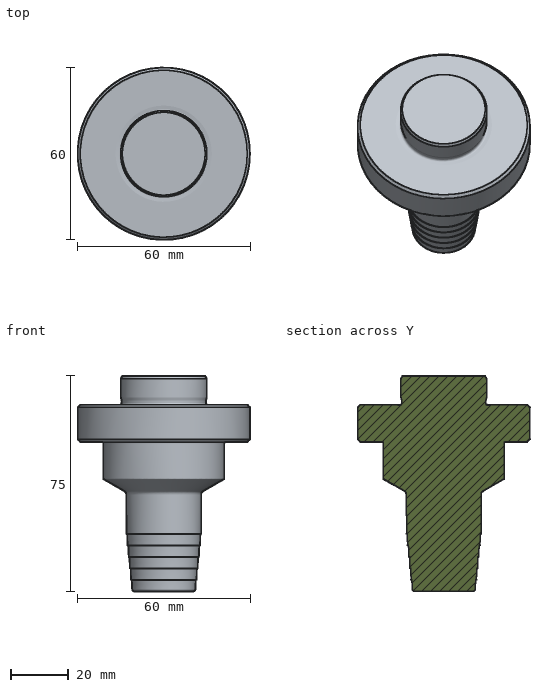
import cadquery as cq
import math

total_height = 75.0

ring_count = 5
ring_height = 4.0
ring_step = 0.27
ring_taper = 0.135
ledge_height = 0.15
tip_fillet = 1.0

stem_radius = 13.05
hub_radius = 21.1
hub_bottom = 39.15
cone_angle = 60.0
stem_fillet = 1.2
hub_edge_fillet = 0.45
hub_root_fillet = 0.45

flange_radius = 30.0
flange_bottom = 52.0
flange_top = 65.0
flange_chamfer = 1.0

countersink_radius = 16.7
countersink_depth = 0.2

neck_radius = 14.7
neck_root_fillet = 0.7
neck_top = 66.4
cap_radius = 15.0
cap_bottom = 67.5
cap_chamfer_height = 1.0
cap_chamfer_width = 0.6

neck_bottom = flange_top - countersink_depth
tail_top = ring_count * ring_height + ledge_height
cone_height = (hub_radius - stem_radius) / math.tan(math.radians(cone_angle))
cone_bottom = hub_bottom - cone_height


def ring_points():
    """Half-profile points of the tail rings, from the stem down to the tip."""
    points = []
    radius = stem_radius
    for index in range(ring_count):
        top = tail_top - index * ring_height
        points.append((radius, top))
        radius -= ring_step
        points.append((radius, top - ledge_height))
        radius -= ring_taper
    points.append((radius, 0))
    return points


def fillet_circle_at(body, radius, height, fillet_radius):
    """Round the circular edge that has the given radius and height."""
    tolerance = 0.01
    box = cq.selectors.BoxSelector(
        (-radius - tolerance, -radius - tolerance, height - tolerance),
        (radius + tolerance, radius + tolerance, height + tolerance),
        boundingbox=True,
    )
    return body.edges("%CIRCLE").edges(box).fillet(fillet_radius)


head_points = [
    (0, total_height),
    (cap_radius - cap_chamfer_width, total_height),
    (cap_radius, total_height - cap_chamfer_height),
    (cap_radius, cap_bottom),
    (neck_radius, neck_top),
    (neck_radius, neck_bottom),
    (countersink_radius, flange_top),
]
flange_points = [
    (flange_radius - flange_chamfer, flange_top),
    (flange_radius, flange_top - flange_chamfer),
    (flange_radius, flange_bottom + flange_chamfer),
    (flange_radius - flange_chamfer, flange_bottom),
]
hub_points = [
    (hub_radius, flange_bottom),
    (hub_radius, hub_bottom),
    (stem_radius, cone_bottom),
]
tail_points = ring_points()
tip_radius = tail_points[-1][0]
profile = head_points + flange_points + hub_points + tail_points + [(0, 0)]

result = cq.Workplane("XZ").polyline(profile).close().revolve(360, (0, 0, 0), (0, 1, 0))

result = fillet_circle_at(result, neck_radius, neck_bottom, neck_root_fillet)
result = fillet_circle_at(result, hub_radius, flange_bottom, hub_root_fillet)
result = fillet_circle_at(result, hub_radius, hub_bottom, hub_edge_fillet)
result = fillet_circle_at(result, stem_radius, cone_bottom, stem_fillet)
result = fillet_circle_at(result, tip_radius, 0, tip_fillet)